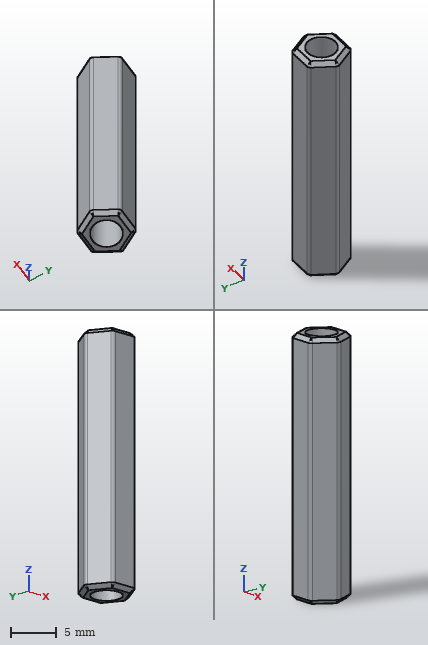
import cadquery as cq
import math

length = 30.0
across_flats = 5.7
corner_radius = 0.5
end_chamfer = 0.5
bore_diameter = 3.6

across_corners = across_flats / math.cos(math.radians(30))
bar = cq.Workplane("XY").polygon(6, across_corners).extrude(length / 2, both=True)

bar = bar.edges("|Z").fillet(corner_radius)
bar = bar.faces("<Z or >Z").edges().chamfer(end_chamfer)

result = bar.faces(">Z").workplane(origin=(0, 0, 0)).circle(bore_diameter / 2).cutThruAll()